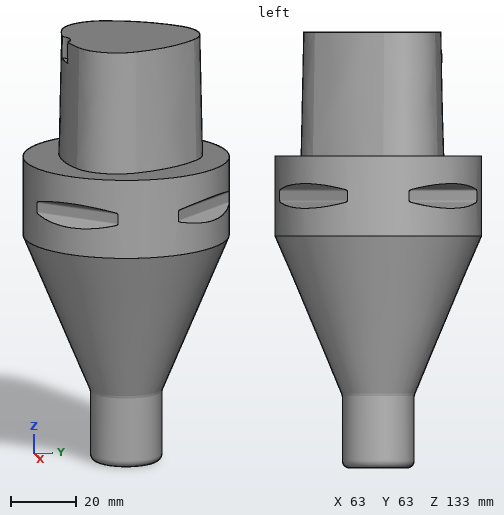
import cadquery as cq
import math

TOTAL_HEIGHT = 133.0
SHANK_BASE_Z = 95.2
COLLAR_BASE_Z = 70.8
PIN_TOP_Z = 22.6
NECK_STEP = 0.8

COLLAR_RADIUS = 63.0 / 2
PIN_RADIUS = 22.0 / 2
NECK_RADIUS = 11.2
PIN_TIP_FILLET = 2.3

LOBE_COUNT = 3
LOBE_CENTRE_DISTANCE = 9.5
LOBE_RADIUS = 14.1
FLANK_DISTANCE = 20.1
TAPER_OFFSET = 0.8

GROOVE_COUNT = 4
GROOVE_Z = 83.0
GROOVE_FLOOR_DISTANCE = 27.9
GROOVE_FLOOR_HEIGHT = 3.6
GROOVE_MOUTH_HEIGHT = 7.6
GROOVE_CORNER_FILLET = 0.8

NOTCH_RADIUS = 5.0
NOTCH_HEIGHT = 6.6
NOTCH_INNER_DISTANCE = 17.5


def polar(distance, angle):
    """Point at a distance from the axis in the given direction (degrees)."""
    radians = math.radians(angle)
    return distance * math.cos(radians), distance * math.sin(radians)


def make_turned_body():
    return (
        cq.Workplane("XZ")
        .moveTo(0, 0)
        .lineTo(PIN_RADIUS, 0)
        .lineTo(PIN_RADIUS, PIN_TOP_Z - NECK_STEP)
        .lineTo(NECK_RADIUS, PIN_TOP_Z)
        .lineTo(COLLAR_RADIUS, COLLAR_BASE_Z)
        .lineTo(COLLAR_RADIUS, SHANK_BASE_Z)
        .lineTo(0, SHANK_BASE_Z)
        .close()
        .revolve(360, (0, 0, 0), (0, 1, 0))
        .faces("<Z")
        .edges()
        .fillet(PIN_TIP_FILLET)
    )


def add_lobed_outline(plane, inset):
    """Closed lobed outline, moved inward by inset."""
    reach = FLANK_DISTANCE - LOBE_RADIUS
    flank_centre = (LOBE_CENTRE_DISTANCE**2 - reach**2) / (2 * reach - LOBE_CENTRE_DISTANCE)
    lobe_x, lobe_y = polar(LOBE_CENTRE_DISTANCE, 180 / LOBE_COUNT)
    tangent_angle = math.atan2(lobe_y, lobe_x + flank_centre)
    radius = LOBE_RADIUS - inset
    join_x = lobe_x + radius * math.cos(tangent_angle)
    join_y = lobe_y + radius * math.sin(tangent_angle)
    join_distance = math.hypot(join_x, join_y)
    half_flank = math.degrees(math.atan2(join_y, join_x))

    pitch = 360 / LOBE_COUNT
    first_flank = -90
    outline = plane.moveTo(*polar(join_distance, first_flank - half_flank))
    for index in range(LOBE_COUNT):
        flank = first_flank + index * pitch
        lobe = flank + pitch / 2
        outline = outline.threePointArc(
            polar(FLANK_DISTANCE - inset, flank),
            polar(join_distance, flank + half_flank),
        ).threePointArc(
            polar(LOBE_CENTRE_DISTANCE + radius, lobe),
            polar(join_distance, flank + pitch - half_flank),
        )
    return outline.close()


def make_shank():
    base = cq.Workplane("XY").workplane(offset=SHANK_BASE_Z)
    base_outline = add_lobed_outline(base, 0)
    top = base_outline.workplane(offset=TOTAL_HEIGHT - SHANK_BASE_Z)
    return add_lobed_outline(top, TAPER_OFFSET).loft(ruled=True)


def make_groove_cutter(angle):
    """Straight trapezoidal groove that widens outward to the collar surface."""
    half_floor = GROOVE_FLOOR_HEIGHT / 2
    half_mouth = GROOVE_MOUTH_HEIGHT / 2
    return (
        cq.Workplane("XZ")
        .polyline([
            (GROOVE_FLOOR_DISTANCE, GROOVE_Z - half_floor),
            (COLLAR_RADIUS, GROOVE_Z - half_mouth),
            (COLLAR_RADIUS, GROOVE_Z + half_mouth),
            (GROOVE_FLOOR_DISTANCE, GROOVE_Z + half_floor),
        ])
        .close()
        .extrude(COLLAR_RADIUS, both=True)
        .faces("<X")
        .edges("|Y")
        .fillet(GROOVE_CORNER_FILLET)
        .rotate((0, 0, 0), (0, 0, 1), angle)
    )


def make_notch_cutter():
    return (
        cq.Workplane("XY")
        .workplane(offset=TOTAL_HEIGHT - NOTCH_HEIGHT)
        .center(0, -NOTCH_INNER_DISTANCE - NOTCH_RADIUS)
        .circle(NOTCH_RADIUS)
        .extrude(NOTCH_HEIGHT)
    )


result = make_turned_body().union(make_shank()).cut(make_notch_cutter())

groove_pitch = 360 / GROOVE_COUNT
for groove_index in range(GROOVE_COUNT):
    groove_angle = (groove_index + 0.5) * groove_pitch
    result = result.cut(make_groove_cutter(groove_angle))